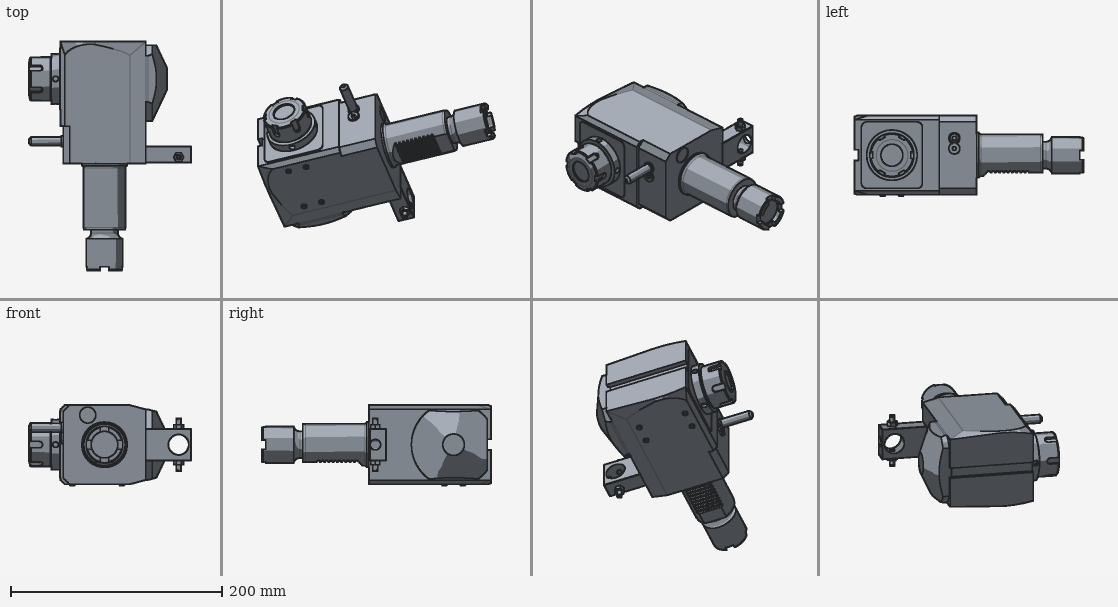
import cadquery as cq
import math


body_length = 115.7
half_height = 37.5
half_width = 39.0
cheek_x = -41.7
step_y = 35.4
front_chamfer = 6.0
rear_chamfer = 4.1
bevel_length = 15.2
bevel_angle = math.radians(15)
bevel_drop = bevel_length * math.tan(bevel_angle)
bevel_x = half_width - bevel_length
key_slot_width = 10.0
key_slot_depth = 4.3

crown_run = 13.0
crown_rise = 4.5
crown_tangent_x = -8.7
crown_tangent_z = 36.5
crown_rear_arc = (-27.0, 35.8)
crown_front_arc = (-25.2, crown_rear_arc[1] + crown_rise)
crown_clearance = 8.7

flange_radius = 21.5
flange_thickness = 2.0
flange_arc_middle = (20.5, -2.5)
flange_arc_end = 4.0
shank_radius = 20.0
shank_end = 62.7
shank_end_radius = 19.5
shank_end_chamfer = 2.4
shank_neck_radius = 12.8
shank_neck_end = 65.5
flat_depth_z = 16.5
rack_root_z = 14.8
runout_start = 4.3
runout_depth_z = 21.5
rack_start = 11.7
rack_end = 48.0
rack_valleys = 10
rack_land = 1.0
coupling_radius = 17.4
coupling_start = 71.2
coupling_end = 101.3
coupling_chamfer_length = 1.3
coupling_chamfer_radius = 16.7
coupling_bore_radius = 12.5
coupling_bore_depth = 5.2
coupling_slot_width = 8.5
coupling_slot_depth = 3.7

spindle_y = 80.0
plate_x = -42.3
plate_length = 57.7
plate_height = 63.0
plate_corner = 5.2
collar_radius = 23.9
collar_x = -50.1
collar_hole_radius = 2.5
collar_hole_depth = 4.3
collar_hole_count = 4
nut_radius = 20.8
nut_face_x = -71.6
nut_back_x = -51.2
nut_edge_x = -69.5
nut_knee_x = -70.5
nut_knee_radius = 20.0
nut_rim_radius = 15.0
neck_radius = 19.5
nut_bore_radius = 10.5
nut_bore_depth = 1.7
nut_slot_count = 6
nut_slot_width = 6.0
nut_slot_end_x = -58.5
nut_slot_floor = 18.0

cap_radius = 40.0
cap_rim_x = 45.1
cap_end_x = 59.2
cap_end_radius = 10.2
cap_ledge_x = 41.0
cap_flat_y = 112.0

arm_end_x = 82.0
arm_y = 0.7
arm_thickness = 15.6
arm_half_height = 15.0
arm_edge_chamfer = 0.5
arm_hole_radius = 9.5
arm_hole_x = 70.0
screw_y = 6.0
screw_radius = 2.4
screw_tip_z = 25.0
screw_inner_z = 10.2
screw_socket_width = 2.5
screw_socket_depth = 1.3
side_hole_radius = 5.0
lock_nut_width = 8.2
lock_nut_height = 4.0
lock_nut_corners = lock_nut_width / math.cos(math.pi / 6)

pin_y = 21.0
pin_z = 16.0
pin_radius = 4.1
pin_tip_chamfer = 2.2
pin_collar_radius = 5.2
plug_z = 6.3
plug_radius = 5.2
plug_proud = 2.0
plug_socket_width = 4.0
plug_socket_depth = 1.3

recess_x = -15.8
recess_z = 28.0
recess_radius = 7.5
recess_depth = 0.9
rivet_x = (-30.4, 16.5)
rivet_offset_y = 8.7
rivet_radius = 2.5
rivet_height = 1.5
rivet_chamfer = 1.0

overlap = 2.2


def along_x(x_start, x_end, radius, y, z):
    """Cylinder parallel to X."""
    return cq.Workplane("YZ", origin=(x_start, y, z)).circle(radius).extrude(x_end - x_start)


def along_z(z_start, z_end, radius, x, y):
    """Cylinder parallel to Z."""
    return cq.Workplane("XY", origin=(x, y, z_start)).circle(radius).extrude(z_end - z_start)


def housing_section(side_x, chamfer, y_start, y_end):
    """Prism along Y with chamfers on the spindle side and bevels on the other."""
    edge_z = half_height - bevel_drop
    upper = [
        (side_x, half_height - chamfer),
        (side_x + chamfer, half_height),
        (bevel_x, half_height),
        (half_width, edge_z),
    ]
    lower = [(x, -z) for x, z in reversed(upper)]
    section = cq.Workplane("XZ", origin=(0, y_start, 0)).polyline(upper + lower).close()
    return section.extrude(y_start - y_end)


def crown_cutter():
    """Region above the rear crown: a ruled surface from an arc-and-line on the
    rear face to a higher arc-and-line further forward."""
    edge_z = half_height - bevel_drop
    roof_z = half_height + crown_clearance
    return (
        cq.Workplane("XZ", origin=(0, body_length, 0))
        .moveTo(half_width, edge_z)
        .lineTo(crown_tangent_x, crown_tangent_z)
        .threePointArc(crown_rear_arc, (cheek_x, half_height - rear_chamfer))
        .lineTo(cheek_x, roof_z)
        .lineTo(half_width, roof_z)
        .close()
        .workplane(offset=crown_run)
        .moveTo(bevel_x, half_height)
        .lineTo(crown_tangent_x, crown_tangent_z + crown_rise)
        .threePointArc(crown_front_arc, (cheek_x + rear_chamfer, half_height))
        .lineTo(cheek_x + rear_chamfer, roof_z)
        .lineTo(bevel_x, roof_z)
        .close()
        .loft(ruled=True)
    )


def make_housing():
    housing = housing_section(-half_width, front_chamfer, 0, step_y).union(
        housing_section(cheek_x, rear_chamfer, step_y, body_length)
    )
    upper_cut = crown_cutter()
    housing = housing.cut(upper_cut).cut(upper_cut.mirror("XY"))
    key_slot = cq.Workplane("XY").box(4 * half_width, 2 * key_slot_depth, key_slot_width)
    recess = (
        cq.Workplane("XZ", origin=(recess_x, 0, recess_z))
        .circle(recess_radius)
        .extrude(-recess_depth)
    )
    return housing.cut(key_slot.translate((0, body_length, 0))).cut(recess)


def make_shank():
    shank = (
        cq.Workplane("XY")
        .moveTo(0, overlap)
        .lineTo(flange_radius, overlap)
        .lineTo(flange_radius, -flange_thickness)
        .threePointArc(flange_arc_middle, (shank_radius, -flange_arc_end))
        .lineTo(shank_radius, -shank_end + shank_end_chamfer)
        .lineTo(shank_end_radius, -shank_end)
        .lineTo(shank_neck_radius, -shank_end)
        .lineTo(shank_neck_radius, -shank_neck_end)
        .tangentArcPoint((coupling_radius, -coupling_start), relative=False)
        .lineTo(coupling_radius, -coupling_end + coupling_chamfer_length)
        .lineTo(coupling_chamfer_radius, -coupling_end)
        .lineTo(0, -coupling_end)
        .close()
        .revolve(360, (0, 0), (0, 1))
    )
    return shank.cut(rack_cutter()).cut(coupling_cutter())


def rack_cutter():
    """Toothed flat under the shank, as a profile in YZ swept across X."""
    pitch = (rack_end - rack_start) / (rack_valleys - 1)
    flank = (pitch - 2 * rack_land) / 2
    below = -shank_radius - 6.5
    runout = [(-runout_start, below), (-runout_start, -runout_depth_z)]
    teeth = []
    for index in range(rack_valleys):
        valley = -rack_start - index * pitch
        if index > 0:
            teeth.append((valley + rack_land / 2 + flank, -flat_depth_z))
        teeth.append((valley + rack_land / 2, -rack_root_z))
        teeth.append((valley - rack_land / 2, -rack_root_z))
        teeth.append((valley - rack_land / 2 - flank, -flat_depth_z))
    end = [(-shank_end, -flat_depth_z), (-shank_end, below)]
    return cq.Workplane("YZ").polyline(runout + teeth + end).close().extrude(2 * shank_radius, both=True)


def coupling_cutter():
    """Shallow bore and two crossed driving slots in the coupling face."""
    face = cq.Workplane("XZ", origin=(0, -coupling_end, 0))
    cutter = face.circle(coupling_bore_radius).extrude(-coupling_bore_depth)
    for angle in (0, 90):
        slot = face.rect(3 * coupling_radius, coupling_slot_width).extrude(-coupling_slot_depth)
        cutter = cutter.union(slot.rotate((0, 0, 0), (0, 1, 0), angle))
    return cutter


def make_spindle():
    plate = (
        cq.Workplane("YZ", origin=(plate_x, spindle_y, 0))
        .rect(plate_length, plate_height)
        .extrude(cheek_x - plate_x + overlap)
        .edges("|X")
        .fillet(plate_corner)
    )
    profile = [
        (plate_x + overlap, 0),
        (plate_x + overlap, collar_radius),
        (collar_x, collar_radius),
        (collar_x, neck_radius),
        (nut_back_x, neck_radius),
        (nut_back_x, nut_radius),
        (nut_edge_x, nut_radius),
        (nut_knee_x, nut_knee_radius),
        (nut_face_x, nut_rim_radius),
        (nut_face_x, nut_bore_radius),
        (nut_face_x + nut_bore_depth, nut_bore_radius),
        (nut_face_x + nut_bore_depth, 0),
    ]
    nose = cq.Workplane("XY").polyline(profile).close().revolve(360, (0, 0), (1, 0))
    for index in range(nut_slot_count):
        nose = nose.cut(nut_slot().rotate((0, 0, 0), (1, 0, 0), index * 360 / nut_slot_count))
    hole_x = (collar_x + plate_x) / 2
    hole = along_z(collar_radius - collar_hole_depth, collar_radius + overlap, collar_hole_radius, hole_x, 0)
    for index in range(collar_hole_count):
        nose = nose.cut(hole.rotate((0, 0, 0), (1, 0, 0), index * 360 / collar_hole_count))
    return plate.union(nose.translate((0, spindle_y, 0)))


def nut_slot():
    """Round-ended wrench slot, open at the nut face, on the +Y side."""
    half = nut_slot_width / 2
    open_x = nut_face_x - overlap
    return (
        cq.Workplane("XZ", origin=(0, nut_slot_floor, 0))
        .moveTo(open_x, -half)
        .lineTo(nut_slot_end_x - half, -half)
        .threePointArc((nut_slot_end_x, 0), (nut_slot_end_x - half, half))
        .lineTo(open_x, half)
        .close()
        .extrude(nut_slot_floor - nut_radius - overlap)
    )


def make_cap():
    """Conical cap trimmed by a flat at the rear and bevels above and below."""
    inner_x = half_width - overlap
    cone = (
        cq.Workplane("XY", origin=(0, spindle_y, 0))
        .polyline([
            (inner_x, 0),
            (inner_x, cap_radius),
            (cap_rim_x, cap_radius),
            (cap_end_x, cap_end_radius),
            (cap_end_x, 0),
        ])
        .close()
        .revolve(360, (0, 0), (1, 0))
    )
    edge_z = half_height - bevel_drop
    tip_z = edge_z - (cap_end_x - cap_ledge_x) * math.tan(bevel_angle)
    upper = [(inner_x, edge_z), (cap_ledge_x, edge_z), (cap_end_x, tip_z)]
    lower = [(x, -z) for x, z in reversed(upper)]
    envelope = cq.Workplane("XZ").polyline(upper + lower).close().extrude(-cap_flat_y)
    return cone.intersect(envelope)


def make_arm():
    arm = (
        cq.Workplane("XY")
        .box(arm_end_x - half_width, arm_thickness, 2 * arm_half_height, centered=(False, False, True))
        .translate((half_width, arm_y, 0))
        .edges("not <X")
        .chamfer(arm_edge_chamfer)
    )
    root_thickness = arm_thickness - 4.3
    root_height = 2 * arm_half_height - 6.5
    root = cq.Workplane("XY").box(2 * overlap, root_thickness, root_height)
    root = root.translate((half_width, arm_y + arm_thickness / 2, 0))
    hole = (
        cq.Workplane("XZ", origin=(arm_hole_x, 0, 0))
        .circle(arm_hole_radius)
        .extrude(-arm_y - arm_thickness - overlap)
    )
    screw_hole = along_z(-screw_inner_z, screw_inner_z, screw_radius, arm_hole_x, screw_y)
    side_hole = along_x(arm_hole_x, arm_end_x + overlap, side_hole_radius, screw_y, 0)
    arm = arm.union(root).cut(hole).cut(screw_hole).cut(side_hole)
    screw = along_z(screw_inner_z, screw_tip_z, screw_radius, arm_hole_x, screw_y)
    socket = (
        cq.Workplane("XY", origin=(arm_hole_x, screw_y, screw_tip_z))
        .polygon(6, screw_socket_width)
        .extrude(-screw_socket_depth)
    )
    lock_nut = (
        cq.Workplane("XY", origin=(arm_hole_x, screw_y, arm_half_height))
        .polygon(6, lock_nut_corners)
        .extrude(lock_nut_height)
    )
    fastener = screw.union(lock_nut).cut(socket)
    return arm.union(fastener).union(fastener.mirror("XY"))


def make_pin_and_plug():
    inner_x = -half_width + overlap
    outer_x = -half_width - plug_proud
    pin = along_x(nut_face_x, inner_x, pin_radius, pin_y, pin_z).faces("<X").chamfer(pin_tip_chamfer)
    collar = along_x(outer_x, inner_x, pin_collar_radius, pin_y, pin_z)
    plug = along_x(outer_x, inner_x, plug_radius, pin_y, plug_z)
    socket = (
        cq.Workplane("YZ", origin=(outer_x, pin_y, plug_z))
        .polygon(6, plug_socket_width)
        .extrude(plug_socket_depth)
    )
    return pin.union(collar).union(plug.cut(socket))


def make_rivets():
    """Low tapered rivet heads under the housing."""
    places = [(x, spindle_y + side * rivet_offset_y) for x in rivet_x for side in (-1, 1)]
    return (
        cq.Workplane("XY", origin=(0, 0, -half_height + overlap))
        .pushPoints(places)
        .circle(rivet_radius)
        .extrude(-rivet_height - overlap)
        .faces("<Z")
        .chamfer(rivet_chamfer)
    )


result = (
    make_housing()
    .union(make_shank())
    .union(make_spindle())
    .union(make_cap())
    .union(make_arm())
    .union(make_pin_and_plug())
    .union(make_rivets())
)